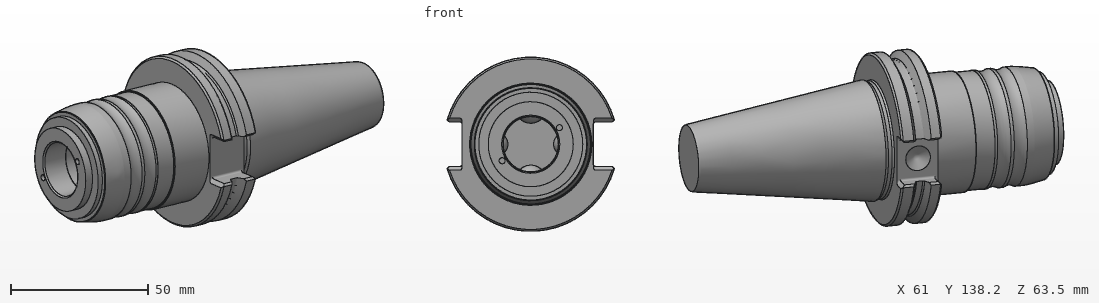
import cadquery as cq
import math

length = 138.2

gauge_y = 70.0
gauge_radius = 22.3
shank_end_radius = 12.5
shank_end_bevel_length = 0.8
shank_end_bevel_depth = 0.3
neck_radius = 21.7
gauge_bevel = 1.1
neck_flare = 0.8
neck_flare_radius = 22.0

flange_diameter = 63.5
flange_radius = flange_diameter / 2
flange_back_y = 66.6
flange_front_y = 51.0
flange_chamfer = 0.7
groove_mid_y = 58.6
groove_floor_radius = 28.3
groove_floor_width = 3.5
groove_mouth_width = 6.6
groove_corner = 0.5

slot_width = 16.2
slot_floor_left = 25.0
slot_floor_right = 22.8
slot_end_chamfer = 1.4
slot_rim_chamfer = 0.8
slot_floor_fillet = 0.8
center_drill_radius = 4.7
center_drill_angle = 118.0

body_radius = 22.3
body_front_y = 35.4
body_chamfer = 0.3
sleeve_radius = 21.7
grip_radius = 21.8
grip_spans = ((15.9, 20.9), (22.1, 27.2))
grip_depth = 0.7
grip_back_y = 28.2
crown_start_y = 13.0
crown_end_y = 5.3
crown_end_radius = 20.6
crown_bulge = 0.1
crown_end_chamfer = 0.3
collar_radius = 19.0
collar_front_y = 3.0
nose_radius = 15.5

bore_diameter = 20.0
bore_radius = bore_diameter / 2
bore_depth = 49.8
bore_chamfer = 0.5
bore_relief_y = 10.1
bore_relief_step = 0.1
bore_relief_radius = bore_radius + bore_relief_step

bump_y = 41.5
bump_radius_x = 4.1
bump_tip_x = 8.3
bump_radius_z = 5.5
bump_tip_z = 7.6

pin_radius = 1.1
pin_circle_radius = 12.0
pin_angle = 30.0
pin_depth = 2.8


def make_body():
    """Solid of revolution with the taper, flange, body and nose."""
    groove_floor = groove_floor_width / 2
    groove_mouth = groove_mouth_width / 2
    profile = (
        cq.Workplane("XY")
        .moveTo(0, 0)
        .lineTo(nose_radius, 0)
        .lineTo(nose_radius, collar_front_y)
        .lineTo(collar_radius, collar_front_y)
        .lineTo(collar_radius, crown_end_y - crown_end_chamfer)
        .lineTo(crown_end_radius - crown_end_chamfer, crown_end_y - crown_end_chamfer)
        .lineTo(crown_end_radius, crown_end_y)
        .threePointArc(
            ((crown_end_radius + grip_radius) / 2 + crown_bulge, (crown_start_y + crown_end_y) / 2),
            (grip_radius, crown_start_y),
        )
    )
    for start, end in grip_spans:
        profile = profile.lineTo(grip_radius, start).threePointArc(
            (grip_radius - grip_depth, (start + end) / 2), (grip_radius, end)
        )
    profile = (
        profile.lineTo(grip_radius, grip_back_y)
        .lineTo(sleeve_radius, grip_back_y)
        .lineTo(sleeve_radius, body_front_y)
        .lineTo(body_radius - body_chamfer, body_front_y)
        .lineTo(body_radius, body_front_y + body_chamfer)
        .lineTo(body_radius, flange_front_y)
        .lineTo(flange_radius - flange_chamfer, flange_front_y)
        .lineTo(flange_radius, flange_front_y + flange_chamfer)
        .lineTo(flange_radius, groove_mid_y - groove_mouth)
        .lineTo(groove_floor_radius + groove_corner, groove_mid_y - groove_floor)
        .radiusArc((groove_floor_radius, groove_mid_y - groove_floor + groove_corner), groove_corner)
        .lineTo(groove_floor_radius, groove_mid_y + groove_floor - groove_corner)
        .radiusArc((groove_floor_radius + groove_corner, groove_mid_y + groove_floor), groove_corner)
        .lineTo(flange_radius, groove_mid_y + groove_mouth)
        .lineTo(flange_radius, flange_back_y - flange_chamfer)
        .lineTo(flange_radius - flange_chamfer, flange_back_y)
        .lineTo(neck_flare_radius, flange_back_y)
        .lineTo(neck_radius, flange_back_y + neck_flare)
        .lineTo(neck_radius, gauge_y - gauge_bevel)
        .lineTo(gauge_radius, gauge_y)
        .lineTo(shank_end_radius, length - shank_end_bevel_length)
        .lineTo(shank_end_radius - shank_end_bevel_depth, length)
        .lineTo(0, length)
        .close()
    )
    return profile.revolve(360, (0, 0, 0), (0, 1, 0))


def make_slot(floor_distance):
    """Drive slot open toward +X, flared at both ends and along its outer rim."""
    half_width = slot_width / 2
    flared_half = half_width + slot_end_chamfer
    front_inner_y = flange_front_y + slot_end_chamfer
    back_inner_y = flange_back_y - slot_end_chamfer
    channel = (
        cq.Workplane("YZ", origin=(floor_distance, 0, 0))
        .polyline([
            (flange_front_y, -flared_half),
            (front_inner_y, -half_width),
            (back_inner_y, -half_width),
            (flange_back_y, -flared_half),
            (flange_back_y, flared_half),
            (back_inner_y, half_width),
            (front_inner_y, half_width),
            (flange_front_y, flared_half),
        ])
        .close()
        .extrude(flange_radius - floor_distance)
        .faces("<X")
        .edges("not |Z")
        .fillet(slot_floor_fillet)
    )
    rim_half = half_width + slot_rim_chamfer
    rim_x = math.sqrt(flange_radius**2 - rim_half**2)
    rim = (
        cq.Workplane("XZ", origin=(0, flange_front_y, 0))
        .polyline([
            (rim_x - slot_rim_chamfer, -half_width),
            (rim_x, -rim_half),
            (flange_radius, -rim_half),
            (flange_radius, rim_half),
            (rim_x, rim_half),
            (rim_x - slot_rim_chamfer, half_width),
        ])
        .close()
        .extrude(flange_front_y - flange_back_y)
    )
    return channel.union(rim)


def make_center_drill():
    """Conical centre mark in the floor of the -X slot."""
    depth = center_drill_radius / math.tan(math.radians(center_drill_angle / 2))
    cone = cq.Solid.makeCone(
        center_drill_radius,
        0,
        depth,
        pnt=cq.Vector(-slot_floor_left, groove_mid_y, 0),
        dir=cq.Vector(1, 0, 0),
    )
    return cq.Workplane(obj=cone)


def make_bore():
    """Bore tool with hollows that leave the four wall bumps standing."""
    bore = (
        cq.Workplane("XY")
        .polyline([
            (0, 0),
            (bore_radius + bore_chamfer, 0),
            (bore_radius, bore_chamfer),
            (bore_radius, bore_relief_y),
            (bore_relief_radius, bore_relief_y),
            (bore_relief_radius, bore_depth),
            (0, bore_depth),
        ])
        .close()
        .revolve(360, (0, 0, 0), (0, 1, 0))
    )
    center_x = bump_tip_x + bump_radius_x
    center_z = bump_tip_z + bump_radius_z
    for side in (-1, 1):
        bump_x = cq.Workplane("XY").sphere(bump_radius_x).translate((side * center_x, bump_y, 0))
        bump_z = cq.Workplane("XY").sphere(bump_radius_z).translate((0, bump_y, side * center_z))
        bore = bore.cut(bump_x).cut(bump_z)
    return bore


def make_pin_holes():
    """Two opposite holes at the edge of the bore mouth."""
    x = pin_circle_radius * math.cos(math.radians(pin_angle))
    z = pin_circle_radius * math.sin(math.radians(pin_angle))
    return (
        cq.Workplane("XZ")
        .pushPoints([(x, z), (-x, -z)])
        .circle(pin_radius)
        .extrude(-pin_depth)
    )


result = (
    make_body()
    .cut(make_slot(slot_floor_left).mirror("YZ"))
    .cut(make_slot(slot_floor_right))
    .cut(make_center_drill())
    .cut(make_bore())
    .cut(make_pin_holes())
)